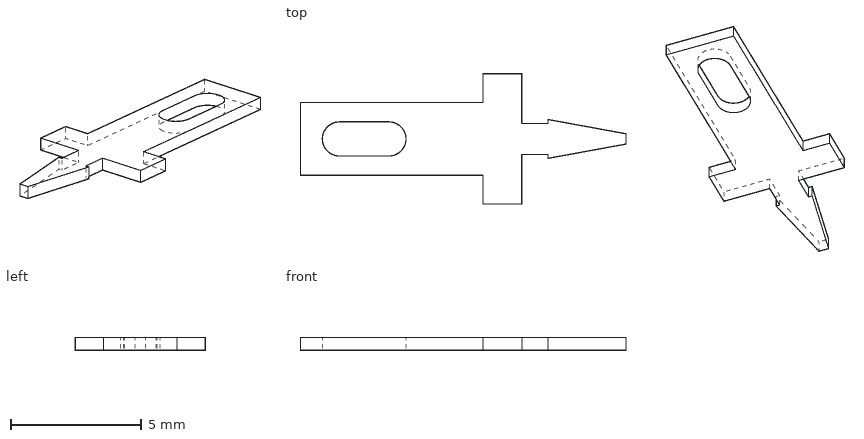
import cadquery as cq

thickness = 0.5

body_length = 7.0
shoulder_length = 1.5
neck_length = 1.0
tip_length = 3.0

body_width = 2.8
shoulder_width = 5.0
neck_width = 1.2
barb_width = 1.5
point_width = 0.4

slot_length = 3.2
slot_width = 1.3
slot_margin = 0.85

shoulder_start = body_length
neck_start = shoulder_start + shoulder_length
tip_start = neck_start + neck_length
tip_end = tip_start + tip_length


def block(start, length, width):
    """Rectangular plate centred on the X axis."""
    plate = cq.Workplane("XY").box(length, width, thickness, centered=(False, True, False))
    return plate.translate((start, 0, 0))


def barbed_tip():
    """Tapered tip, wider than the neck at its base."""
    return (
        cq.Workplane("XY")
        .moveTo(tip_start, -barb_width / 2)
        .lineTo(tip_end, -point_width / 2)
        .lineTo(tip_end, point_width / 2)
        .lineTo(tip_start, barb_width / 2)
        .close()
        .extrude(thickness)
    )


def slot():
    """Cutter for the through slot, with semicircular ends."""
    return (
        cq.Workplane("XY")
        .center(slot_margin + slot_length / 2, 0)
        .slot2D(slot_length, slot_width)
        .extrude(thickness)
    )


result = (
    block(0, body_length, body_width)
    .union(block(shoulder_start, shoulder_length, shoulder_width))
    .union(block(neck_start, neck_length, neck_width))
    .union(barbed_tip())
    .cut(slot())
)